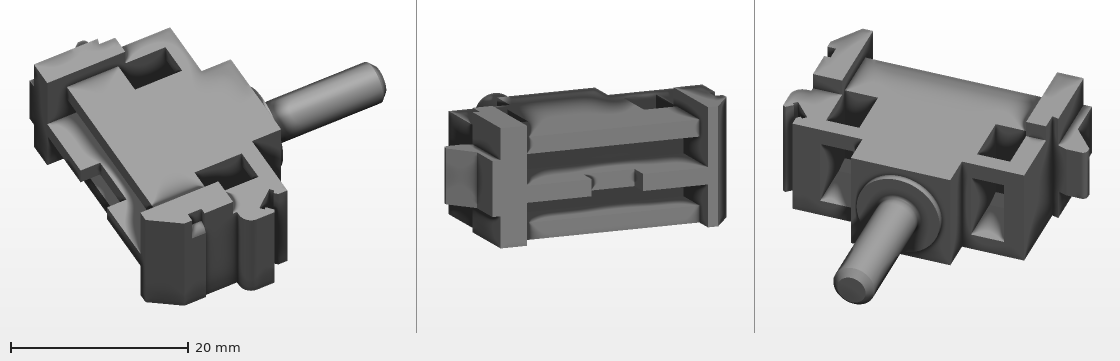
import cadquery as cq
import math


body_height = 12.0
body_left = -13.5
shoulder_y = 17.05
boss_half_width = 6.0
boss_y = 20.8

plate_thickness = 2.0
plate_front_y = 2.5
cavity_half_width = 11.1
shelf_bottom_z = (body_height - plate_thickness) / 2
shelf_notch_half_width = 3.15

pocket_width = 4.0
pocket_front_y = 9.1
pocket_rear_y = 15.15
ramp_end_y = 11.07
ramp_angle = 12.0
cavity_back_y = pocket_front_y - plate_thickness

wall_height = 14.0
wall_depth = 10.0
left_wall_x = -14.3
left_step_y = 8.2
right_wall_x = 14.62
right_rib_x = 14.9
right_rib_y = 6.35
chamfer_front_x = 12.35
chamfer_end_y = 3.6

slot_inner_x = 13.85
slot_front_y = 4.6
barrel_radius = 1.45
barrel_axis_x = 13.5
barrel_axis_z = body_height - barrel_radius

latch_height = 6.5
latch_bottom_z = (wall_height - latch_height) / 2
latch_base_x = -15.3
latch_base_y = 4.55
latch_tip_x = -17.8
latch_tip_y = 7.53
latch_top_y = 8.55
latch_slope_x = -15.4
latch_corner_radius = 0.6

hook_upper_x = 14.45
hook_right_x = 16.65
hook_bottom_y = 10.5
hook_radius = 1.5
hook_jaw_y = 14.2
jaw_tip = (16.3, 14.4)
lower_lip = (15.5, 13.7)
lower_undercut = (15.75, 13.45)
groove_bottom = (15.3, 13.0)
groove_top = (13.3, 15.35)
upper_undercut = (13.75, 15.75)
upper_lip = (14.05, 15.5)
upper_lip_end_y = 15.9

stud_axis_z = body_height / 2
stud_radius = 2.5
stud_tip_y = 36.6
stud_chamfer = 0.8
flange_radius = 5.0
flange_thickness = 0.8
stud_root_fillet = 0.3


def block(x_range, y_range, z_range):
    """Axis-aligned box between the given limits."""
    size = [high - low for low, high in (x_range, y_range, z_range)]
    corner = (x_range[0], y_range[0], z_range[0])
    return cq.Workplane("XY").box(*size, centered=False).translate(corner)


def make_body():
    base = block((body_left, cavity_half_width), (plate_front_y, shoulder_y), (0, body_height))
    boss = block((-boss_half_width, boss_half_width), (plate_front_y, boss_y), (0, body_height))
    return base.union(boss)


def cut_front_cavity(body):
    across = (-cavity_half_width, cavity_half_width)
    cavity = block(across, (0, cavity_back_y), (plate_thickness, body_height - plate_thickness))
    shelf_z = (shelf_bottom_z, shelf_bottom_z + plate_thickness)
    shelf = block(across, (0, cavity_back_y), shelf_z)
    notch = block((-shelf_notch_half_width, shelf_notch_half_width), (0, plate_front_y), shelf_z)
    return body.cut(cavity).union(shelf.cut(notch))


def make_wire_channel(x_start):
    """Pocket and rear-opening channel, its floor ramping up towards the front."""
    ramp_rise = (ramp_end_y - pocket_front_y) * math.tan(math.radians(ramp_angle))
    channel_top_z = body_height - plate_thickness
    return (
        cq.Workplane("YZ", origin=(x_start, 0, 0))
        .moveTo(pocket_front_y, plate_thickness + ramp_rise)
        .lineTo(ramp_end_y, plate_thickness)
        .lineTo(shoulder_y, plate_thickness)
        .lineTo(shoulder_y, channel_top_z)
        .lineTo(pocket_rear_y, channel_top_z)
        .lineTo(pocket_rear_y, body_height)
        .lineTo(pocket_front_y, body_height)
        .close()
        .extrude(pocket_width)
    )


def latch_slope_y(x):
    """Height along Y of the sloping rear edge shared by the latch and the left wall."""
    slope = (latch_top_y - left_step_y) / (latch_slope_x - left_wall_x)
    return left_step_y + slope * (x - left_wall_x)


def make_left_wall():
    outline = [
        (-cavity_half_width, 0),
        (left_wall_x, 0),
        (left_wall_x, left_step_y),
        (body_left, latch_slope_y(body_left)),
        (body_left, wall_depth),
        (-cavity_half_width, wall_depth),
    ]
    return cq.Workplane("XY").polyline(outline).close().extrude(wall_height)


def make_latch():
    corner_x = latch_tip_x + latch_corner_radius
    corner_y = latch_top_y - latch_corner_radius
    return (
        cq.Workplane("XY", origin=(0, 0, latch_bottom_z))
        .moveTo(body_left, 0)
        .lineTo(latch_base_x, 0)
        .lineTo(latch_base_x, latch_base_y)
        .lineTo(latch_tip_x, latch_tip_y)
        .lineTo(latch_tip_x, corner_y)
        .radiusArc((corner_x, latch_top_y), latch_corner_radius)
        .lineTo(latch_slope_x, latch_top_y)
        .lineTo(body_left, latch_slope_y(body_left))
        .close()
        .extrude(latch_height)
    )


def make_right_wall():
    outline = [
        (cavity_half_width, 0),
        (chamfer_front_x, 0),
        (right_rib_x, chamfer_end_y),
        (right_rib_x, right_rib_y),
        (right_wall_x, right_rib_y),
        (right_wall_x, wall_depth),
        (cavity_half_width, wall_depth),
    ]
    wall = cq.Workplane("XY").polyline(outline).close().extrude(wall_height)
    slot_y = (slot_front_y, right_rib_y)
    slot = block((slot_inner_x, right_rib_x), slot_y, (barrel_axis_z, wall_height))
    barrel = (
        cq.Workplane("XZ", origin=(barrel_axis_x, right_rib_y, barrel_axis_z))
        .circle(barrel_radius)
        .extrude(right_rib_y - slot_front_y)
    )
    return wall.cut(slot.cut(barrel))


def make_hook():
    """Solid corner behind the right wall, with an oblique undercut groove open to the right."""
    jaw_and_groove = [
        (hook_right_x, hook_jaw_y),
        jaw_tip,
        lower_lip,
        lower_undercut,
        groove_bottom,
        groove_top,
        upper_undercut,
        upper_lip,
        (hook_upper_x, upper_lip_end_y),
        (hook_upper_x, shoulder_y),
        (cavity_half_width, shoulder_y),
    ]
    outline = (
        cq.Workplane("XY")
        .moveTo(cavity_half_width, wall_depth)
        .lineTo(right_wall_x, wall_depth)
        .lineTo(right_wall_x, hook_bottom_y)
        .lineTo(hook_right_x - hook_radius, hook_bottom_y)
        .radiusArc((hook_right_x, hook_bottom_y + hook_radius), -hook_radius)
    )
    for point in jaw_and_groove:
        outline = outline.lineTo(*point)
    return outline.close().extrude(body_height)


def make_stud():
    flange_y = boss_y + flange_thickness
    root_radius = stud_radius + stud_root_fillet
    profile = (
        cq.Workplane("YZ")
        .moveTo(boss_y, 0)
        .lineTo(boss_y, flange_radius)
        .lineTo(flange_y, flange_radius)
        .lineTo(flange_y, root_radius)
        .radiusArc((flange_y + stud_root_fillet, stud_radius), -stud_root_fillet)
        .lineTo(stud_tip_y - stud_chamfer, stud_radius)
        .lineTo(stud_tip_y, stud_radius - stud_chamfer)
        .lineTo(stud_tip_y, 0)
        .close()
    )
    return profile.revolve(360, (0, 0, 0), (1, 0, 0)).translate((0, 0, stud_axis_z))


result = cut_front_cavity(make_body())
for part in (make_left_wall(), make_latch(), make_right_wall(), make_hook(), make_stud()):
    result = result.union(part)
for channel_x in (-cavity_half_width, cavity_half_width - pocket_width):
    result = result.cut(make_wire_channel(channel_x))